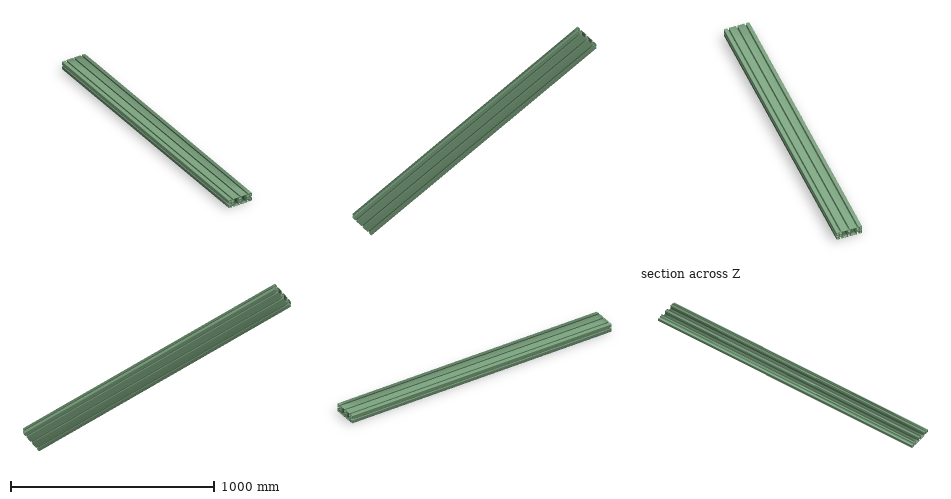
import cadquery as cq
import math

length = 1524
width = 135.0
height = 45
skin = 2.3
corner_radius = 2.9

slot_mouth = 7.5
slot_mouth_radius = 0.8
slot_lip = 5.2
slot_chamber = 15.0
slot_chamber_straight = 7.2
slot_floor = 9.6
slot_depth = 15.0

edge_to_slot = height / 2
core_pitch = width / 2 - edge_to_slot
core_positions = [-core_pitch, 0, core_pitch]
bore_diameter = 8.5

post_half_width = 9.0
hub_half_width = 8.0
hub_half_height = 5.2

corner_reach = edge_to_slot - slot_chamber / 2 - skin
corner_short_side = 10.5


def extrude_polygon(points):
    """Full-length prism with the given (Y, Z) outline."""
    return cq.Workplane("YZ").workplane(offset=-length / 2).polyline(points).close().extrude(length)


def top_slot(y):
    """T-slot opening in the top face, centred at y, with rounded mouth edges."""
    top = height / 2
    mouth = slot_mouth / 2
    flare = mouth + slot_mouth_radius
    arc_offset = slot_mouth_radius * math.sin(math.radians(45))
    arc_across = flare - arc_offset
    arc_z = top - slot_mouth_radius + arc_offset
    chamber_end = top - slot_lip - slot_chamber_straight
    return (
        cq.Workplane("YZ", origin=(-length / 2, y, 0))
        .moveTo(-flare, top)
        .lineTo(flare, top)
        .threePointArc((arc_across, arc_z), (mouth, top - slot_mouth_radius))
        .lineTo(mouth, top - slot_lip)
        .lineTo(slot_chamber / 2, top - slot_lip)
        .lineTo(slot_chamber / 2, chamber_end)
        .lineTo(slot_floor / 2, top - slot_depth)
        .lineTo(-slot_floor / 2, top - slot_depth)
        .lineTo(-slot_chamber / 2, chamber_end)
        .lineTo(-slot_chamber / 2, top - slot_lip)
        .lineTo(-mouth, top - slot_lip)
        .lineTo(-mouth, top - slot_mouth_radius)
        .threePointArc((-arc_across, arc_z), (-flare, top))
        .close()
        .extrude(length)
    )


def side_slot():
    """T-slot opening in the +Y face: an end-core top slot turned a quarter turn about its core."""
    core_axis_start = (0, core_pitch, 0)
    core_axis_end = (1, core_pitch, 0)
    return top_slot(core_pitch).rotate(core_axis_start, core_axis_end, -90)


def window():
    """Hollow between the middle core and the +Y core."""
    top = height / 2 - skin
    middle_post = post_half_width
    middle_hub = hub_half_width
    end_post = core_pitch - post_half_width
    end_hub = core_pitch - hub_half_width
    return extrude_polygon([
        (middle_post, top),
        (end_post, top),
        (end_post, hub_half_height),
        (end_hub, hub_half_height),
        (end_hub, -hub_half_height),
        (end_post, -hub_half_height),
        (end_post, -top),
        (middle_post, -top),
        (middle_post, -hub_half_height),
        (middle_hub, -hub_half_height),
        (middle_hub, hub_half_height),
        (middle_post, hub_half_height),
    ])


def corner_hollow():
    """Five-sided hollow in the +Y, +Z corner."""
    from_corner = [
        (skin, skin),
        (corner_reach, skin),
        (corner_reach, corner_short_side),
        (corner_short_side, corner_reach),
        (skin, corner_reach),
    ]
    return extrude_polygon([(width / 2 - across, height / 2 - down) for across, down in from_corner])


body = cq.Workplane("XY").box(length, width, height).edges("|X").fillet(corner_radius)

for y in core_positions:
    slot = top_slot(y)
    bore = cq.Workplane("YZ").center(y, 0).circle(bore_diameter / 2).extrude(length / 2, both=True)
    body = body.cut(slot).cut(slot.mirror("XY")).cut(bore)

for hollow in (side_slot(), window()):
    body = body.cut(hollow).cut(hollow.mirror("XZ"))

upper_corner = corner_hollow()
for corner in (upper_corner, upper_corner.mirror("XY")):
    body = body.cut(corner).cut(corner.mirror("XZ"))

result = body